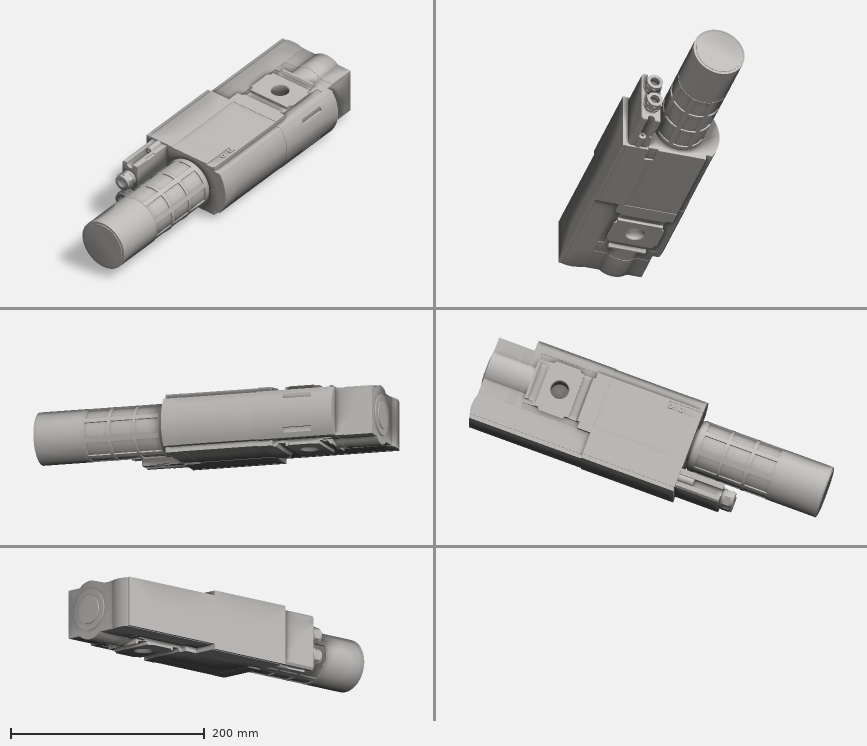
import cadquery as cq
import math


BLOCK_HALF = 31.0
SHOULDER_HALF_Z = 25.5
SIDE_LEFT = -59.0
SHOULDER_END = 37.5
SIDE_RIGHT = 46.0
END_PLATE_LENGTH = 18.0
FRONT_LENGTH = 101.5
MIDDLE_END = 185.8
BACK = 225.0
PANEL_LEFT = -25.5
PANEL_INSET = 0.55
END_PLATE_INSET = 0.5

COVER_HALF_Z = 25.7
COVER_BULGE = 2.2
COVER_BULGE_MARGIN = 2.5
GROOVE_START = 3.5
GROOVE_WIDTH = 1.0
GROOVE_DEPTH = 0.7
SEAT_DEPTH = 0.5

PORT_Y = 147.0
PORT_DIAMETER = 19.0
PORT_DEPTH = 19.0
PORT_CHAMFER = 0.7
CHAMFER_ANGLE = 45
RECESS_DEPTH = 0.7
RECESS_FRONT = 116.0
RECESS_BACK = 178.0
BASE_TOP = 27.5
BASE_HALF_X = 24.3
PAD_HALF_Y = 18.5
EAR_HALF_X = 27.2
EAR_HALF_Y = 15.0
EAR_CORNER = 2.0
RAMP_RUN = 2.2
RAMP_FOOT_FRONT = 120.5
RAMP_FOOT_BACK = 173.5
RIDGE_HALF_X = 20.0
CORNER_RELIEF_FRONT = 169.0
CORNER_RELIEF_DEPTH = 1.5

HUMP_HALF_X = 15.0
HUMP_ROOT = 1.5
NECK_BACK = 194.7
NECK_DROP = 0.5
BACK_DISCS = [(43.3, 1.0), (29.5, 2.2)]

STEP_LENGTH = 30.2
STEP_X = 40.5
STEP_HALF_Z = 15.3
SLOT_CENTER_X = 24.8
SLOT_WIDTH = 8.2
SLOT_LENGTH = 36.5
SLOT_DEPTH = 2.0
SLOT_SCREW_DIAMETER = 6.0
SLOT_SCREW_HEIGHT = 1.5
SLOT_SCREWS_Y = (33.5, 22.0)
SLOT_SCREW_SOCKET = 2.45
NOTCH_CENTER_X = -25.7
NOTCH_WIDTH = 10.0
NOTCH_DEPTH = 2.2
MARK_CENTER_X = 28.7
MARK_SIZE = 3.5
MARK_PITCH = 5.0
MARK_DEPTH = 0.7

PLUG_LEFT = -53.5
PLUG_RIGHT = -33.0
PLUG_HALF_Z = 28.7
PLUG_LENGTH = 47.5
PLUG_CHAMFER_X = 2.0
PLUG_CHAMFER_Z = 2.5
PLUG_END_CHAMFER = 0.7
PLUG_AXIS_X = -43.0
SCREW_DIAMETER = 8.0
SCREW_Z = BLOCK_HALF - SCREW_DIAMETER / 2
SCREW_SOCKET_DIAMETER = 3.2
SCREW_SOCKET_DEPTH = 2.0
SCREW_LENGTH = 16.5
LATCH_DEPTH = 3.0
LATCH_HEIGHT = 1.0
LATCH_LENGTH = 13.0
LATCH_CENTER_Y = -24.3

GLAND_Z = 11.2
GLAND_HOLE_DIAMETER = 10.0
GLAND_HOLE_DEPTH = 7.5
GLAND_NECK = (16.0, 1.5)
GLAND_COLLAR = (18.0, 2.5)
GLAND_TIP = (16.8, 3.0)
GLAND_HEX_CORNERS = 19.0
GLAND_HEX_LENGTH = 6.5
GLAND_HEX_TURN = 90

SILENCER_RADIUS = 27.5
SILENCER_NECK_RADIUS = 17.5
CAGE_CORE_RADIUS = 26.0
SHOULDER_RADIUS = 23.0
SHOULDER_START = 2.0
SHOULDER_LENGTH = 3.7
SHOULDER_ROUND = (26.5, 3.0)
WINDOW_STARTS = (10.0, 37.3, 65.3)
WINDOW_LENGTH = 24.5
RIB_COUNT = 8
RIB_WIDTH = 5.0
SEAM_START = 91.0
SEAM_WIDTH = 1.0
SEAM_DEPTH = 0.5
CAP_END = 145.0
END_DISC_RADIUS = 25.0
SILENCER_END = 146.0


def box(x0, x1, y0, y1, z0, z1):
    """Box given by its limits along each axis."""
    return cq.Workplane("XY").box(x1 - x0, y1 - y0, z1 - z0, centered=False).translate((x0, y0, z0))


def rod(x, z, y_start, length, diameter):
    """Cylinder along Y that starts at y_start and runs toward -Y."""
    return cq.Workplane("XZ", origin=(x, y_start, z)).circle(diameter / 2).extrude(length)


def both_sides(upper):
    """The given upper feature together with its mirror image below Z = 0."""
    return upper.union(upper.mirror("XY"))


def section(left, half_z, y0, y1, inset):
    """Block with a stepped, rounded right side; the top, bottom and round face are set in by `inset`."""
    shoulder_z = SHOULDER_HALF_Z - inset
    top_z = half_z - inset
    profile = (
        cq.Workplane("XZ", origin=(0, y1, 0))
        .moveTo(left, -top_z)
        .lineTo(BLOCK_HALF, -top_z)
    )
    if top_z > shoulder_z:
        profile = profile.lineTo(BLOCK_HALF, -shoulder_z)
    profile = (
        profile.lineTo(SHOULDER_END, -shoulder_z)
        .threePointArc((SIDE_RIGHT - inset, 0), (SHOULDER_END, shoulder_z))
        .lineTo(BLOCK_HALF, shoulder_z)
    )
    if top_z > shoulder_z:
        profile = profile.lineTo(BLOCK_HALF, top_z)
    return profile.lineTo(left, top_z).close().extrude(y1 - y0)


def make_cover():
    """Slim cover along the left side, taller in front, with a rounded back."""
    front = box(SIDE_LEFT, PANEL_LEFT, 0, FRONT_LENGTH, -BLOCK_HALF, BLOCK_HALF)
    bulge_left = SIDE_LEFT + COVER_BULGE_MARGIN
    bulge_right = -BLOCK_HALF - COVER_BULGE_MARGIN
    bulge_middle = (bulge_left + bulge_right) / 2
    rear = (
        cq.Workplane("XY", origin=(0, 0, -COVER_HALF_Z))
        .moveTo(SIDE_LEFT, FRONT_LENGTH)
        .lineTo(SIDE_LEFT, BACK)
        .lineTo(bulge_left, BACK)
        .threePointArc((bulge_middle, BACK + COVER_BULGE), (bulge_right, BACK))
        .lineTo(-BLOCK_HALF, BACK)
        .lineTo(-BLOCK_HALF, FRONT_LENGTH)
        .close()
        .extrude(2 * COVER_HALF_Z)
    )
    return front.union(rear)


def make_seam_grooves():
    """Groove near the left side, along the cover and down its front."""
    x0 = SIDE_LEFT + GROOVE_START
    x1 = x0 + GROOVE_WIDTH
    front_top = box(x0, x1, 0, FRONT_LENGTH, BLOCK_HALF - GROOVE_DEPTH, BLOCK_HALF)
    rear_top = box(x0, x1, FRONT_LENGTH, BACK + COVER_BULGE, COVER_HALF_Z - GROOVE_DEPTH, COVER_HALF_Z)
    face = box(x0, x1, 0, GROOVE_DEPTH, -BLOCK_HALF, BLOCK_HALF)
    return both_sides(front_top.union(rear_top)).union(face)


def make_rear_block():
    """Narrower block behind the middle part, with a shallow neck and two discs on its back."""
    block = box(-BLOCK_HALF, BLOCK_HALF, MIDDLE_END, BACK, -SHOULDER_HALF_Z, SHOULDER_HALF_Z)
    neck_z = SHOULDER_HALF_Z - NECK_DROP
    neck = box(-BLOCK_HALF, BLOCK_HALF, MIDDLE_END, NECK_BACK, neck_z, SHOULDER_HALF_Z)
    block = block.cut(both_sides(neck))
    for diameter, height in BACK_DISCS:
        block = block.union(rod(0, 0, BACK + height, height, diameter))
    return block


def hump_section(y0, y1, drop):
    """Length of the rounded hump, lowered by `drop`."""
    edge_z = SHOULDER_HALF_Z - drop
    foot = SHOULDER_HALF_Z - HUMP_ROOT
    return (
        cq.Workplane("XZ", origin=(0, y1, 0))
        .moveTo(-HUMP_HALF_X, foot)
        .lineTo(-HUMP_HALF_X, edge_z)
        .threePointArc((0, BLOCK_HALF - drop), (HUMP_HALF_X, edge_z))
        .lineTo(HUMP_HALF_X, foot)
        .close()
        .extrude(y1 - y0)
    )


def make_hump():
    """Rounded hump along the top of the rear block, with a shallow neck."""
    front = hump_section(RECESS_BACK, MIDDLE_END, 0)
    neck = hump_section(MIDDLE_END, NECK_BACK, NECK_DROP)
    rear = hump_section(NECK_BACK, BACK, 0)
    return front.union(neck).union(rear)


def make_ramp(half_x, foot_y, wall_y):
    """Raised bar from wall_y to a sloping face that meets the port plate at foot_y."""
    toward_wall = math.copysign(RAMP_RUN, wall_y - foot_y)
    floor = SHOULDER_HALF_Z - RECESS_DEPTH
    return (
        cq.Workplane("YZ", origin=(-half_x, 0, 0))
        .polyline([
            (wall_y, floor),
            (foot_y, floor),
            (foot_y, BASE_TOP),
            (foot_y + toward_wall, BLOCK_HALF),
            (wall_y, BLOCK_HALF),
        ])
        .close()
        .extrude(2 * half_x)
    )


def make_ears():
    """Ears on both sides of the port pad, with undercut flanks and cut corners."""
    flanks = (
        cq.Workplane("XZ", origin=(0, PORT_Y + EAR_HALF_Y, 0))
        .polyline([
            (-BASE_HALF_X, BASE_TOP),
            (BASE_HALF_X, BASE_TOP),
            (EAR_HALF_X, BLOCK_HALF),
            (-EAR_HALF_X, BLOCK_HALF),
        ])
        .close()
        .extrude(2 * EAR_HALF_Y)
    )
    inner_y = EAR_HALF_Y - EAR_CORNER
    outline = (
        cq.Workplane("XY", origin=(0, PORT_Y, BASE_TOP))
        .polyline([
            (-EAR_HALF_X, -inner_y),
            (-BASE_HALF_X, -EAR_HALF_Y),
            (BASE_HALF_X, -EAR_HALF_Y),
            (EAR_HALF_X, -inner_y),
            (EAR_HALF_X, inner_y),
            (BASE_HALF_X, EAR_HALF_Y),
            (-BASE_HALF_X, EAR_HALF_Y),
            (-EAR_HALF_X, inner_y),
        ])
        .close()
        .extrude(BLOCK_HALF - BASE_TOP)
    )
    return flanks.intersect(outline)


def make_port_parts():
    """Everything that stands in the upper port recess."""
    floor = SHOULDER_HALF_Z - RECESS_DEPTH
    front_wall = box(-BLOCK_HALF, BLOCK_HALF, FRONT_LENGTH, RECESS_FRONT, floor, BLOCK_HALF)
    base = box(-BASE_HALF_X, BASE_HALF_X, RECESS_FRONT, RECESS_BACK, floor, BASE_TOP)
    relief_floor = BASE_TOP - CORNER_RELIEF_DEPTH
    for side in (-1, 1):
        middle = side * (BASE_HALF_X + RIDGE_HALF_X) / 2
        half = (BASE_HALF_X - RIDGE_HALF_X) / 2
        base = base.cut(
            box(middle - half, middle + half, CORNER_RELIEF_FRONT, RECESS_BACK, relief_floor, BASE_TOP)
        )
    pad = box(-BASE_HALF_X, BASE_HALF_X, PORT_Y - PAD_HALF_Y, PORT_Y + PAD_HALF_Y, floor, BLOCK_HALF)
    parts = front_wall.union(base).union(pad).union(make_ears())
    parts = parts.union(make_ramp(BASE_HALF_X, RAMP_FOOT_FRONT, RECESS_FRONT))
    return parts.union(make_ramp(RIDGE_HALF_X, RAMP_FOOT_BACK, RECESS_BACK))


def make_port_hole():
    """Blind port with a chamfered rim, cut from the top of the pad."""
    top = cq.Workplane("XY", origin=(0, PORT_Y, BLOCK_HALF))
    bore = top.circle(PORT_DIAMETER / 2).extrude(-PORT_DEPTH)
    rim = top.circle(PORT_DIAMETER / 2 + PORT_CHAMFER).extrude(-PORT_CHAMFER, taper=CHAMFER_ANGLE)
    return bore.union(rim)


def add_slot(housing):
    """Slot in the top, open to the front, with two screws on its floor."""
    floor = BLOCK_HALF - SLOT_DEPTH
    half = SLOT_WIDTH / 2
    housing = housing.cut(
        box(SLOT_CENTER_X - half, SLOT_CENTER_X + half, 0, SLOT_LENGTH, floor, BLOCK_HALF)
    )
    for y in SLOT_SCREWS_Y:
        head = (
            cq.Workplane("XY", origin=(SLOT_CENTER_X, y, floor))
            .circle(SLOT_SCREW_DIAMETER / 2)
            .circle(SLOT_SCREW_SOCKET / 2)
            .extrude(SLOT_SCREW_HEIGHT)
        )
        housing = housing.union(head)
    return housing


def make_front_cuts():
    """Notch under the end plate and two small marks in the front face."""
    half = NOTCH_WIDTH / 2
    cuts = box(
        NOTCH_CENTER_X - half, NOTCH_CENTER_X + half, 0, END_PLATE_LENGTH,
        -BLOCK_HALF, NOTCH_DEPTH - BLOCK_HALF,
    )
    for side in (-1, 1):
        mark = (
            cq.Workplane("XZ", origin=(MARK_CENTER_X, 0, side * MARK_PITCH / 2))
            .rect(MARK_SIZE, MARK_SIZE)
            .extrude(-MARK_DEPTH)
        )
        cuts = cuts.union(mark)
    return cuts


def make_housing():
    end_plate = section(PANEL_LEFT, BLOCK_HALF, 0, END_PLATE_LENGTH, END_PLATE_INSET)
    panel = section(PANEL_LEFT, BLOCK_HALF, END_PLATE_LENGTH, FRONT_LENGTH, PANEL_INSET)
    middle = section(-BLOCK_HALF, SHOULDER_HALF_Z, FRONT_LENGTH, MIDDLE_END, 0)
    recess = box(
        -BLOCK_HALF, BLOCK_HALF, FRONT_LENGTH, RECESS_BACK,
        SHOULDER_HALF_Z - RECESS_DEPTH, SHOULDER_HALF_Z,
    )
    middle = middle.cut(both_sides(recess))
    housing = make_cover().union(end_plate).union(panel).union(middle).union(make_rear_block())
    housing = housing.union(both_sides(make_hump())).union(both_sides(make_port_parts()))
    side_step = box(
        STEP_X, SIDE_RIGHT, PORT_Y - STEP_LENGTH / 2, PORT_Y + STEP_LENGTH / 2,
        STEP_HALF_Z, SHOULDER_HALF_Z,
    )
    plug_seat = box(
        SIDE_LEFT + GROOVE_START + GROOVE_WIDTH, -BLOCK_HALF, 0, SEAT_DEPTH, -BLOCK_HALF, BLOCK_HALF,
    )
    housing = housing.cut(both_sides(make_port_hole())).cut(both_sides(side_step))
    housing = housing.cut(make_seam_grooves()).cut(plug_seat)
    return add_slot(housing).cut(make_front_cuts())


def make_gland(z):
    """Cable gland on the plug front: neck, collar, hexagon and tip around a blind hole."""
    y = -PLUG_LENGTH
    neck = rod(PLUG_AXIS_X, z, y, GLAND_NECK[1], GLAND_NECK[0])
    y -= GLAND_NECK[1]
    collar = rod(PLUG_AXIS_X, z, y, GLAND_COLLAR[1], GLAND_COLLAR[0])
    y -= GLAND_COLLAR[1]
    hexagon = (
        cq.Workplane("XZ")
        .polygon(6, GLAND_HEX_CORNERS)
        .extrude(GLAND_HEX_LENGTH)
        .rotate((0, 0, 0), (0, 1, 0), GLAND_HEX_TURN)
        .translate((PLUG_AXIS_X, y, z))
    )
    y -= GLAND_HEX_LENGTH
    tip = rod(PLUG_AXIS_X, z, y, GLAND_TIP[1], GLAND_TIP[0])
    y -= GLAND_TIP[1]
    hole = rod(PLUG_AXIS_X, z, y + GLAND_HOLE_DEPTH, GLAND_HOLE_DEPTH, GLAND_HOLE_DIAMETER)
    return neck.union(collar).union(hexagon).union(tip).cut(hole)


def make_plug():
    inner_x = PLUG_LEFT + PLUG_CHAMFER_X
    inner_z = PLUG_HALF_Z - PLUG_CHAMFER_Z
    plug = (
        cq.Workplane("XZ", origin=(0, SEAT_DEPTH, 0))
        .polyline([
            (PLUG_LEFT, -inner_z),
            (inner_x, -PLUG_HALF_Z),
            (PLUG_RIGHT, -PLUG_HALF_Z),
            (PLUG_RIGHT, PLUG_HALF_Z),
            (inner_x, PLUG_HALF_Z),
            (PLUG_LEFT, inner_z),
        ])
        .close()
        .extrude(PLUG_LENGTH + SEAT_DEPTH)
        .faces("<Y")
        .chamfer(PLUG_END_CHAMFER)
    )
    half_channel = SCREW_DIAMETER / 2
    channel = rod(PLUG_AXIS_X, SCREW_Z, 0, PLUG_LENGTH, SCREW_DIAMETER).union(box(
        PLUG_AXIS_X - half_channel, PLUG_AXIS_X + half_channel, -PLUG_LENGTH, 0, SCREW_Z, PLUG_HALF_Z,
    ))
    latch = box(
        PLUG_RIGHT - LATCH_DEPTH, PLUG_RIGHT,
        LATCH_CENTER_Y - LATCH_LENGTH / 2, LATCH_CENTER_Y + LATCH_LENGTH / 2,
        PLUG_HALF_Z - LATCH_HEIGHT, PLUG_HALF_Z,
    )
    screw = rod(PLUG_AXIS_X, SCREW_Z, 0, SCREW_LENGTH, SCREW_DIAMETER)
    socket_start = SCREW_SOCKET_DEPTH - SCREW_LENGTH
    screw = screw.cut(
        rod(PLUG_AXIS_X, SCREW_Z, socket_start, SCREW_SOCKET_DEPTH, SCREW_SOCKET_DIAMETER)
    )
    plug = plug.cut(both_sides(channel.union(latch))).union(both_sides(screw))
    for side in (-1, 1):
        plug = plug.union(make_gland(side * GLAND_Z))
    return plug


def make_windows(start):
    """Ring of windows between the cage ribs, down to the core."""
    ring = rod(0, 0, -start, WINDOW_LENGTH, 2 * SILENCER_RADIUS).cut(
        rod(0, 0, -start, WINDOW_LENGTH, 2 * CAGE_CORE_RADIUS)
    )
    pitch = 360 / RIB_COUNT
    for i in range(RIB_COUNT):
        rib = box(
            0, SILENCER_RADIUS, -start - WINDOW_LENGTH, -start, -RIB_WIDTH / 2, RIB_WIDTH / 2,
        )
        ring = ring.cut(rib.rotate((0, 0, 0), (0, 1, 0), (i + 0.5) * pitch))
    return ring


def make_silencer():
    seam_radius = SILENCER_RADIUS - SEAM_DEPTH
    seam_end = SEAM_START + SEAM_WIDTH
    silencer = (
        cq.Workplane("XY")
        .moveTo(0, 0)
        .lineTo(SILENCER_NECK_RADIUS, 0)
        .lineTo(SILENCER_NECK_RADIUS, -SHOULDER_START)
        .lineTo(SHOULDER_RADIUS, -SHOULDER_START)
        .threePointArc(
            (SHOULDER_ROUND[0], -SHOULDER_ROUND[1]),
            (SILENCER_RADIUS, -SHOULDER_START - SHOULDER_LENGTH),
        )
        .lineTo(SILENCER_RADIUS, -SEAM_START)
        .lineTo(seam_radius, -SEAM_START)
        .lineTo(seam_radius, -seam_end)
        .lineTo(SILENCER_RADIUS, -seam_end)
        .lineTo(SILENCER_RADIUS, -CAP_END)
        .lineTo(END_DISC_RADIUS, -CAP_END)
        .lineTo(END_DISC_RADIUS, -SILENCER_END)
        .lineTo(0, -SILENCER_END)
        .close()
        .revolve(360, (0, 0, 0), (0, 1, 0))
    )
    for start in WINDOW_STARTS:
        silencer = silencer.cut(make_windows(start))
    return silencer


housing = make_housing()
plug = make_plug()
silencer = make_silencer()

result = cq.Compound.makeCompound([housing.solids().val(), plug.solids().val(), silencer.solids().val()])